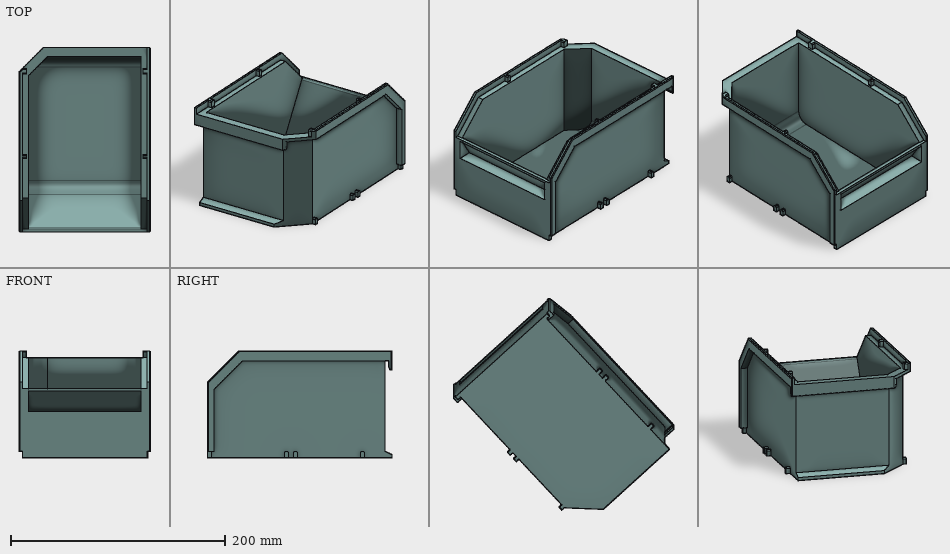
import cadquery as cq
import math

WIDTH = 122.5
LENGTH = 172.5
HEIGHT = 100.0

WALL = 2.0
FLOOR_THICKNESS = 3.0
BODY_HALF_WIDTH = 54.9
CAVITY_HALF_WIDTH = BODY_HALF_WIDTH - WALL
BODY_BACK = 166.1
CAVITY_BACK = BODY_BACK - WALL
SHELF_TOP = 93.7
FRONT_TOP = 64.7
FLOOR_FRONT_RADIUS = 14.8
FLOOR_BACK_RADIUS = 10.0
FRONT_WALL_ANGLE = math.radians(60)
FRONT_EDGE_RADIUS = 1.9

LIP_RISE = 70.7
SHELF_RISE = 62.0
UNDERSIDE_RISE = 57.8
FRONT_EDGE_DEPTH = FRONT_TOP - SHELF_RISE
SHELF_FRONT = SHELF_TOP - SHELF_RISE

SHELF_THICKNESS = 3.1
FLANGE_UNDERSIDE = SHELF_TOP - SHELF_THICKNESS
FLANGE_BASE = 6.0
FRONT_FLANGE_DEPTH = 6.2
LIP_INNER = 58.3
LIP_BEVEL = 0.9
HOOK_THICKNESS = 3.1
HOOK_TIP_THICKNESS = 2.0
HOOK_BOTTOM = 82.3
HOOK_TAPER_HEIGHT = 2.6

FOOT_EDGE_HEIGHT = 3.1
FOOT_HEIGHT = 6.0
FRONT_PLATE_DEPTH = 3.6

OUTER_CORNER = 211.1
BODY_CORNER = 201.7
CAVITY_CORNER = BODY_CORNER - WALL * math.sqrt(2)

POCKET_BOTTOM = 43.5
POCKET_TOP = 62.3
POCKET_CEILING_DEPTH = 2.0

TAB_INNER = 54.5
TAB_SPANS = [(147.7, 153.0), (69.0, 72.5)]
NUB_LENGTH = 3.6
NUB_STARTS = [72.0, 80.4, 143.0]
LEFT_NUB_REACH = LIP_INNER
RIGHT_NUB_REACH = 59.0
BLOCK_BEVEL = 1.0

CLEAR = 17.2


def across(profile, half_width):
    """Extrude a (Y, Z) wire symmetrically along X."""
    return profile.extrude(half_width, both=True)


def yz_polygon(points):
    return cq.Workplane("YZ").polyline(points).close()


def block(x_range, y_range, z_range):
    sizes = [high - low for low, high in (x_range, y_range, z_range)]
    return cq.Workplane("XY").box(*sizes, centered=False).translate((x_range[0], y_range[0], z_range[0]))


def side_profile(front, base, top, rise):
    """Side outline with its upper front corner cut at 45 degrees."""
    return [
        (front, base),
        (front, front + rise),
        (top - rise, top),
        (LENGTH, top),
        (LENGTH, base),
    ]


def corner_wedge(limit, base, top):
    """Everything behind the plane Y - X = limit, between two heights."""
    far = LENGTH + CLEAR
    corner = [(far - limit, far), (-WIDTH, far), (-WIDTH, limit - WIDTH)]
    return cq.Workplane("XY").workplane(offset=base).polyline(corner).close().extrude(top - base)


def tub_body():
    profile = [
        (0, 0),
        (0, FRONT_TOP),
        (FRONT_EDGE_DEPTH, FRONT_TOP),
        (SHELF_FRONT, SHELF_TOP),
        (BODY_BACK, SHELF_TOP),
        (BODY_BACK, FOOT_HEIGHT),
        (LENGTH, FOOT_EDGE_HEIGHT),
        (LENGTH, 0),
    ]
    body = across(yz_polygon(profile), BODY_HALF_WIDTH)
    return body.cut(corner_wedge(BODY_CORNER, 0, FLANGE_UNDERSIDE))


def flange():
    outer = side_profile(0, FLANGE_BASE, HEIGHT, LIP_RISE)
    inner = side_profile(FRONT_FLANGE_DEPTH, FLANGE_BASE, FLANGE_UNDERSIDE, UNDERSIDE_RISE)
    band = across(yz_polygon(outer), WIDTH / 2).cut(across(yz_polygon(inner), WIDTH / 2))
    plate = block((-LIP_INNER, LIP_INNER), (0, FRONT_PLATE_DEPTH), (0, FLANGE_BASE))
    return band.union(plate)


def hook():
    profile = [
        (LENGTH, SHELF_TOP),
        (LENGTH, HOOK_BOTTOM),
        (LENGTH - HOOK_TIP_THICKNESS, HOOK_BOTTOM),
        (LENGTH - HOOK_THICKNESS, HOOK_BOTTOM + HOOK_TAPER_HEIGHT),
        (LENGTH - HOOK_THICKNESS, SHELF_TOP),
    ]
    return across(yz_polygon(profile), WIDTH / 2)


def channel():
    """Space between the lips, above the shelf and the front wall."""
    profile = [
        (-CLEAR, FRONT_TOP),
        (FRONT_EDGE_DEPTH, FRONT_TOP),
        (SHELF_FRONT, SHELF_TOP),
        (LENGTH + CLEAR, SHELF_TOP),
        (LENGTH + CLEAR, HEIGHT + CLEAR),
        (-CLEAR, HEIGHT + CLEAR),
    ]
    return across(yz_polygon(profile), LIP_INNER)


def arc_point(center, radius, angle):
    """Point on a (Y, Z) circle; the angle is measured from +Z towards +Y."""
    return (center[0] + radius * math.sin(angle), center[1] + radius * math.cos(angle))


def cavity():
    """Inside of the tub: leaning front wall, and round floor at front and back."""
    angle = FRONT_WALL_ANGLE
    edge_start = (FRONT_EDGE_DEPTH, FRONT_TOP)
    edge_center = (edge_start[0], FRONT_TOP - FRONT_EDGE_RADIUS)
    edge_end = arc_point(edge_center, FRONT_EDGE_RADIUS, angle)

    center_z = FLOOR_THICKNESS + FLOOR_FRONT_RADIUS
    drop = (edge_end[1] - center_z) * math.cos(angle)
    center_y = edge_end[0] + (FLOOR_FRONT_RADIUS + drop) / math.sin(angle)
    front_center = (center_y, center_z)
    back_center = (CAVITY_BACK - FLOOR_BACK_RADIUS, FLOOR_THICKNESS + FLOOR_BACK_RADIUS)

    profile = (
        cq.Workplane("YZ")
        .moveTo(edge_start[0], HEIGHT + CLEAR)
        .lineTo(*edge_start)
        .threePointArc(arc_point(edge_center, FRONT_EDGE_RADIUS, angle / 2), edge_end)
        .lineTo(*arc_point(front_center, FLOOR_FRONT_RADIUS, angle + math.pi))
        .threePointArc(
            arc_point(front_center, FLOOR_FRONT_RADIUS, angle / 2 + math.pi),
            (center_y, FLOOR_THICKNESS),
        )
        .lineTo(back_center[0], FLOOR_THICKNESS)
        .threePointArc(
            arc_point(back_center, FLOOR_BACK_RADIUS, math.radians(135)),
            (CAVITY_BACK, back_center[1]),
        )
        .lineTo(CAVITY_BACK, HEIGHT + CLEAR)
        .close()
    )
    space = across(profile, CAVITY_HALF_WIDTH)
    return space.cut(corner_wedge(CAVITY_CORNER, 0, HEIGHT + CLEAR))


def label_pocket():
    """Pocket with a flat floor and ceiling whose back leans parallel to the front wall."""
    floor_depth = POCKET_CEILING_DEPTH + (POCKET_TOP - POCKET_BOTTOM) / math.tan(FRONT_WALL_ANGLE)
    profile = [
        (0, POCKET_BOTTOM),
        (0, POCKET_TOP),
        (POCKET_CEILING_DEPTH, POCKET_TOP),
        (floor_depth, POCKET_BOTTOM),
    ]
    return across(yz_polygon(profile), CAVITY_HALF_WIDTH)


def beveled_block(x_range, y_range, z_range):
    """Block with both of its upper edges along X beveled."""
    return block(x_range, y_range, z_range).edges("|X and >Z").chamfer(BLOCK_BEVEL)


def stacking_blocks():
    blocks = []
    for start, end in TAB_SPANS:
        for x_range in ((-LIP_INNER, -TAB_INNER), (TAB_INNER, LIP_INNER)):
            blocks.append(beveled_block(x_range, (start, end), (SHELF_TOP, HEIGHT)))
    nub_sides = ((-LEFT_NUB_REACH, -BODY_HALF_WIDTH), (BODY_HALF_WIDTH, RIGHT_NUB_REACH))
    for start in NUB_STARTS:
        for x_range in nub_sides:
            blocks.append(beveled_block(x_range, (start, start + NUB_LENGTH), (0, FLANGE_BASE)))
    return blocks


def envelope():
    """Outer limits: the beveled rims of both lips and the cut back corner with its beveled top edge."""
    straight_half = WIDTH / 2 - LIP_BEVEL
    outline = side_profile(0, -CLEAR, HEIGHT, LIP_RISE)
    limits = across(yz_polygon(outline), straight_half)
    rim = yz_polygon(outline).extrude(LIP_BEVEL, taper=45).translate((straight_half, 0, 0))
    limits = limits.union(rim).union(rim.mirror("YZ"))
    limits = limits.cut(corner_wedge(OUTER_CORNER, -CLEAR, HEIGHT + CLEAR))
    diagonal = cq.selectors.ParallelDirSelector(cq.Vector(1, 1, 0))
    return limits.faces(">Z").edges(diagonal).chamfer(LIP_BEVEL)


result = tub_body().union(flange()).union(hook())
result = result.cut(channel()).cut(cavity()).cut(label_pocket())
for stacking_block in stacking_blocks():
    result = result.union(stacking_block)
result = result.intersect(envelope())